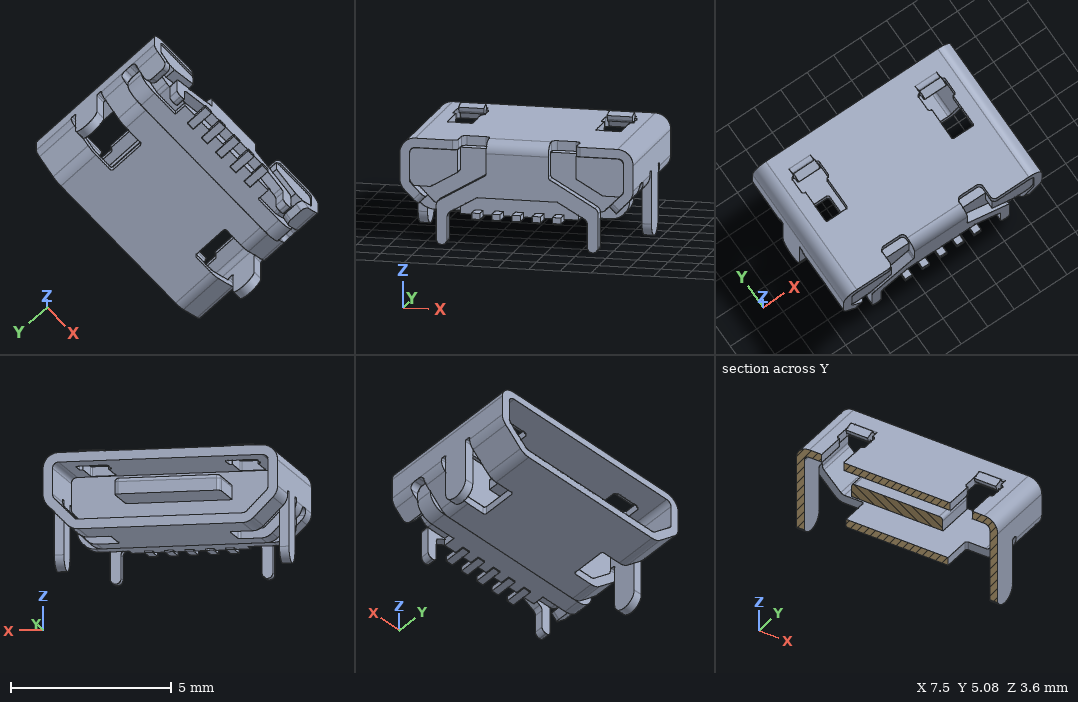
import cadquery as cq
import math

SIDES = (-1, 1)
BIG = 10.0

SHEET = 0.31
BEND_OUT = 0.5
BEND_IN = BEND_OUT - SHEET
HALF_WIDTH = 3.75
TOP_Z = 2.5
BOTTOM_Z = 0.05
KNEE_Z = 0.97
KNEE_ANGLE = math.radians(45)
SHELL_LENGTH = 5.055
INNER_X = HALF_WIDTH - SHEET
INNER_TOP_Z = TOP_Z - SHEET
FLOOR_Z = BOTTOM_Z + SHEET

LEG_TIP_Z = -0.9
LEG_Y = -2.145
LEG_WIDTH = 0.91
LEG_SLOT_WIDTH = 0.19
LEG_OPENING_LENGTH = LEG_WIDTH + 2 * LEG_SLOT_WIDTH
LEG_OPENING_TOP_Z = 1.28
LEG_OPENING_INNER_X = 1.9
LEG_SLOT_RADIUS = 0.05
LEG_OPENING_RADIUS = 0.08

SPRING_X = 2.385
SPRING_WIDTH = 0.81
SPRING_ROOT_Y = -0.61
WINDOW_END_Y = -2.69
WINDOW_RADIUS = 0.05
WIDE_WINDOW_WIDTH = 1.02
WIDE_WINDOW_START_Y = -0.88
WIDE_WINDOW_END_Y = -1.53
WIDE_WINDOW_RADIUS = 0.08
SPRING_PEAK_Y = -0.87
SPRING_PEAK_Z = 2.7
SPRING_RISE_ANGLE = 60
SPRING_FALL_ANGLE = 16.5
SPRING_FALL_LENGTH = 0.31
SPRING_THICKNESS = 0.24
SPRING_ROOT_RADIUS = 0.24
SPRING_TIP_RADIUS = 0.1

NOTCH_INNER_X = 1.0
NOTCH_OUTER_X = 1.9
NOTCH_Y = -4.35
NOTCH_RADIUS = 0.15
NOTCH_EDGE_RADIUS = 0.15

STRAP_REAR_Y = -4.95
STRAP_FRONT_Y = STRAP_REAR_Y + SHEET
STRAP_BEND_OUT = 0.4
STRAP_BEND_IN = STRAP_BEND_OUT - SHEET
STRAP_SLOPE = math.tan(math.radians(30))
STRAP_SHOULDER_Z = 1.4
STRAP_ARCH_X = 1.29
STRAP_ARCH_Z = 0.67
STRAP_LEG_OUTER_X = 2.6
STRAP_LEG_WIDTH = 0.35
STRAP_SHOULDER_RADIUS = 0.1
STRAP_HIP_RADIUS = 0.2
STRAP_TIP_RADIUS = 0.17

LUG_FRONT_Y = -3.64
LUG_REAR_Y = -4.22
LUG_TOP_Z = 1.176
LUG_TOP_RADIUS = 0.2
LUG_BOTTOM_RADIUS = 0.6
FLAP_TIP_Z = 0.386
FLAP_RADIUS = 0.2

INSULATOR_FRONT_Y = LEG_Y - LEG_OPENING_LENGTH / 2
EAR_INNER_X = 1.9
EAR_SLOPE_Z = 1.463
EAR_BOTTOM_Z = 0.962
EAR_REAR_Y = -5.0
FOOT_HALF_WIDTH = 1.9
TONGUE_HALF_WIDTH = 1.7
TONGUE_FRONT_Y = -1.04
TONGUE_TOP_Z = 1.82
TONGUE_BOTTOM_Z = 1.3
TONGUE_RADIUS = 0.13
CONTACT_COUNT = 5
CONTACT_PITCH = 0.65
CONTACT_WIDTH = 0.27
CONTACT_HEIGHT = 0.2
CONTACT_FRONT_Y = -4.3
CONTACT_REAR_Y = -5.076


def block(x_range, y_range, z_range):
    """Box given by its limits along each axis."""
    (x0, x1), (y0, y1), (z0, z1) = (sorted(limits) for limits in (x_range, y_range, z_range))
    return cq.Workplane("XY").box(x1 - x0, y1 - y0, z1 - z0, centered=False).translate((x0, y0, z0))


def mirrored(points):
    """Closed outline made of the +X half, listed from top to bottom, and its mirror image."""
    return points + [(-x, z) for x, z in reversed(points)]


def plate(points, y_front, y_rear):
    """XZ outline extruded toward -Y from y_front to y_rear."""
    return cq.Workplane("XZ", origin=(0, y_front, 0)).polyline(points).close().extrude(y_front - y_rear)


def shell_prism(inset, bend_radius, y_front, y_rear):
    """Prism of the shell's section, moved inward by inset."""
    half_width = HALF_WIDTH - inset
    knee_z = KNEE_Z + inset * math.tan(KNEE_ANGLE / 2)
    bottom_z = BOTTOM_Z + inset
    outline = mirrored([
        (half_width, TOP_Z - inset),
        (half_width, knee_z),
        (half_width - (knee_z - bottom_z), bottom_z),
    ])
    return plate(outline, y_front, y_rear).edges("|Y").fillet(bend_radius)


def spring(side):
    """Latch spring: leaves the top plate upward and bends down again at its peak."""
    rise = math.radians(SPRING_RISE_ANGLE)
    fall = math.radians(SPRING_FALL_ANGLE)
    root = (SPRING_PEAK_Y + (SPRING_PEAK_Z - TOP_Z) / math.tan(rise), TOP_Z)
    peak = (SPRING_PEAK_Y, SPRING_PEAK_Z)
    tip = (
        SPRING_PEAK_Y - SPRING_FALL_LENGTH * math.cos(fall),
        SPRING_PEAK_Z - SPRING_FALL_LENGTH * math.sin(fall),
    )
    root_below = (root[0] - SPRING_THICKNESS / math.sin(rise) + SHEET / math.tan(rise), INNER_TOP_Z)
    half_turn = (rise + fall) / 2
    bisector = (rise - fall) / 2
    miter = SPRING_THICKNESS / math.cos(half_turn)
    peak_below = (peak[0] - miter * math.sin(bisector), peak[1] - miter * math.cos(bisector))
    tip_below = (
        tip[0] + SPRING_THICKNESS * math.sin(fall),
        tip[1] - SPRING_THICKNESS * math.cos(fall),
    )
    outline = [(SPRING_ROOT_Y, TOP_Z), root, peak, tip, tip_below, peak_below, root_below,
               (SPRING_ROOT_Y, INNER_TOP_Z)]
    body = (
        cq.Workplane("YZ", origin=(side * SPRING_X - SPRING_WIDTH / 2, 0, 0))
        .polyline(outline).close().extrude(SPRING_WIDTH)
    )
    for (y, z), radius in ((root, SPRING_ROOT_RADIUS), (tip_below, SPRING_TIP_RADIUS)):
        body = body.edges(cq.selectors.NearestToPointSelector((side * SPRING_X, y, z))).fillet(radius)
    return body


def window(side):
    """T-shaped opening in the top around a spring."""
    x = side * SPRING_X

    def opening(width, y_start, y_end, radius):
        half = width / 2
        tool = block((x - half, x + half), (y_start, y_end), (INNER_TOP_Z - SHEET, TOP_Z + SHEET))
        return tool.edges("|Z").fillet(radius)

    return opening(SPRING_WIDTH, SPRING_ROOT_Y, WINDOW_END_Y, WINDOW_RADIUS).union(
        opening(WIDE_WINDOW_WIDTH, WIDE_WINDOW_START_Y, WIDE_WINDOW_END_Y, WIDE_WINDOW_RADIUS)
    )


def leg_opening(side):
    """Opening in side wall and floor that a solder leg is bent out of."""
    half = LEG_OPENING_LENGTH / 2
    tool = block(
        (side * LEG_OPENING_INNER_X, side * BIG), (LEG_Y - half, LEG_Y + half), (-BIG, LEG_OPENING_TOP_Z)
    )
    inner_face = "<X" if side > 0 else ">X"
    return tool.faces(inner_face).edges("|Z").fillet(LEG_OPENING_RADIUS)


def leg(side):
    """Round-ended solder leg hanging from the side wall."""
    half = LEG_WIDTH / 2
    root_z = LEG_OPENING_TOP_Z
    centre_z = LEG_TIP_Z + half
    return (
        cq.Workplane("YZ", origin=(INNER_X if side > 0 else -HALF_WIDTH, 0, 0))
        .moveTo(LEG_Y - half, root_z)
        .lineTo(LEG_Y - half, centre_z)
        .threePointArc((LEG_Y, LEG_TIP_Z), (LEG_Y + half, centre_z))
        .lineTo(LEG_Y + half, root_z)
        .close()
        .extrude(SHEET)
    )


def notch(side):
    """Round-cornered notch in the rear edge of the top plate, next to the strap."""
    tool = block((side * NOTCH_INNER_X, side * NOTCH_OUTER_X), (NOTCH_Y, -BIG), (INNER_TOP_Z - SHEET, BIG))
    return tool.faces(">Y").edges("|Z").fillet(NOTCH_RADIUS)


def strap():
    """Plate bent down from the top at the rear, spreading into two legs."""
    leg_inner_x = STRAP_LEG_OUTER_X - STRAP_LEG_WIDTH
    shoulder = (NOTCH_INNER_X, STRAP_SHOULDER_Z)
    outer_hip = (STRAP_LEG_OUTER_X, STRAP_SHOULDER_Z - (STRAP_LEG_OUTER_X - NOTCH_INNER_X) * STRAP_SLOPE)
    inner_hip = (leg_inner_x, STRAP_ARCH_Z - (leg_inner_x - STRAP_ARCH_X) * STRAP_SLOPE)
    outline = mirrored([
        (NOTCH_INNER_X, TOP_Z),
        shoulder,
        outer_hip,
        (STRAP_LEG_OUTER_X, LEG_TIP_Z),
        (leg_inner_x, LEG_TIP_Z),
        inner_hip,
        (STRAP_ARCH_X, STRAP_ARCH_Z),
    ])
    upright = plate(outline, STRAP_FRONT_Y, STRAP_REAR_Y)
    upright = upright.faces("<Z").edges("|Y").fillet(STRAP_TIP_RADIUS)
    for (x, z), radius in (
        (shoulder, STRAP_SHOULDER_RADIUS),
        (outer_hip, STRAP_HIP_RADIUS),
        (inner_hip, STRAP_HIP_RADIUS),
    ):
        for side in SIDES:
            corner = (side * x, (STRAP_FRONT_Y + STRAP_REAR_Y) / 2, z)
            upright = upright.edges(cq.selectors.NearestToPointSelector(corner)).fillet(radius)
    ledge = block((-NOTCH_INNER_X, NOTCH_INNER_X), (NOTCH_Y, STRAP_FRONT_Y), (INNER_TOP_Z, TOP_Z))
    bent = upright.union(ledge)
    for y, z, radius in (
        (STRAP_REAR_Y, TOP_Z, STRAP_BEND_OUT),
        (STRAP_FRONT_Y, INNER_TOP_Z, STRAP_BEND_IN),
    ):
        bent = bent.edges(cq.selectors.NearestToPointSelector((0, y, z))).fillet(radius)
    return bent


def lug_opening():
    """Opening across floor and side walls for the insulator lugs."""
    tool = block((-BIG, BIG), (LUG_FRONT_Y, LUG_REAR_Y), (-BIG, LUG_TOP_Z))
    return tool.faces(">Z").edges("|X").fillet(LUG_TOP_RADIUS)


def flap_trim():
    """Removes the floor behind the lugs and ends the 45 degree walls squarely."""
    tip_x = HALF_WIDTH - (KNEE_Z - FLAP_TIP_Z)
    reach = FLAP_TIP_Z - LEG_TIP_Z
    outline = mirrored([
        (tip_x - SHEET, FLAP_TIP_Z + SHEET),
        (tip_x + reach, LEG_TIP_Z),
    ])
    return plate(outline, LUG_REAR_Y, -BIG)


def round_flap_corners(body):
    """Rounds both corners of each 45 degree flap."""
    half_sheet = SHEET / 2 * math.sin(KNEE_ANGLE)
    x = HALF_WIDTH - (KNEE_Z - FLAP_TIP_Z) - half_sheet
    for side in SIDES:
        for y in (LUG_REAR_Y, -SHELL_LENGTH):
            corner = (side * x, y, FLAP_TIP_Z + half_sheet)
            body = body.edges(cq.selectors.NearestToPointSelector(corner)).fillet(FLAP_RADIUS)
    return body


def make_shell():
    """Sheet-metal shell with legs, springs and rear strap."""
    body = shell_prism(0, BEND_OUT, 0, -SHELL_LENGTH).cut(shell_prism(SHEET, BEND_IN, 0, -SHELL_LENGTH))
    body = body.cut(lug_opening()).cut(flap_trim())
    body = round_flap_corners(body)
    for side in SIDES:
        body = body.cut(leg_opening(side)).union(leg(side))
        body = body.cut(window(side)).union(spring(side))
    slot_tops = cq.selectors.BoxSelector(
        (-BIG, LUG_FRONT_Y, LEG_OPENING_TOP_Z - LEG_SLOT_RADIUS),
        (BIG, 0, LEG_OPENING_TOP_Z + LEG_SLOT_RADIUS),
    )
    body = body.edges(slot_tops).edges("|X").fillet(LEG_SLOT_RADIUS)

    middle = block((-NOTCH_OUTER_X, NOTCH_OUTER_X), (NOTCH_Y - NOTCH_RADIUS, -BIG), (INNER_TOP_Z - SHEET, BIG))
    body = body.cut(middle)
    for side in SIDES:
        body = body.cut(notch(side))
    for side in SIDES:
        corner = (side * NOTCH_OUTER_X, -SHELL_LENGTH, TOP_Z - SHEET / 2)
        body = body.edges(cq.selectors.NearestToPointSelector(corner)).fillet(NOTCH_EDGE_RADIUS)
    return body.union(strap())


def ears():
    """Upper corner blocks of the insulator beside the strap."""
    tools = cq.Workplane("XY")
    slope_end_x = EAR_INNER_X + (EAR_SLOPE_Z - EAR_BOTTOM_Z) / STRAP_SLOPE
    for side in SIDES:
        outline = [
            (side * EAR_INNER_X, TOP_Z),
            (side * EAR_INNER_X, EAR_SLOPE_Z),
            (side * slope_end_x, EAR_BOTTOM_Z),
            (side * HALF_WIDTH, EAR_BOTTOM_Z),
            (side * HALF_WIDTH, TOP_Z),
        ]
        tools = tools.union(plate(outline, STRAP_FRONT_Y, EAR_REAR_Y))
    return tools.intersect(shell_prism(SHEET, BEND_IN, STRAP_FRONT_Y, EAR_REAR_Y))


def lugs():
    """Wide lower block whose rounded ends fill the openings in the side walls."""
    body = block((-INNER_X, INNER_X), (LUG_FRONT_Y, LUG_REAR_Y), (BOTTOM_Z, LUG_TOP_Z))
    body = body.faces("<Z").edges("|Y").fillet(LUG_BOTTOM_RADIUS)
    return body.intersect(lug_opening())


def tongue():
    """Contact carrier reaching into the mating opening, rounded along its top and front corners."""
    body = block(
        (-TONGUE_HALF_WIDTH, TONGUE_HALF_WIDTH),
        (INSULATOR_FRONT_Y, TONGUE_FRONT_Y),
        (TONGUE_BOTTOM_Z, TONGUE_TOP_Z),
    )
    body = body.faces(">Y").edges("|Z").fillet(TONGUE_RADIUS)
    return body.faces(">Z").edges("not <Y").fillet(TONGUE_RADIUS)


def make_insulator(shell):
    """Moulded insulator with its contacts, fitted to the inside of the shell."""
    body = shell_prism(SHEET, BEND_IN, INSULATOR_FRONT_Y, STRAP_FRONT_Y)
    foot = block((-FOOT_HALF_WIDTH, FOOT_HALF_WIDTH), (LUG_REAR_Y, STRAP_FRONT_Y), (BOTTOM_Z, FLOOR_Z))
    body = body.union(lugs()).union(foot).union(ears()).union(tongue())
    for i in range(CONTACT_COUNT):
        x = (i - (CONTACT_COUNT - 1) / 2) * CONTACT_PITCH
        half = CONTACT_WIDTH / 2
        body = body.union(block((x - half, x + half), (CONTACT_FRONT_Y, CONTACT_REAR_Y), (0, CONTACT_HEIGHT)))
    return body.cut(shell)


shell = make_shell()
insulator = make_insulator(shell)
result = cq.Compound.makeCompound([shell.solids().val(), insulator.solids().val()])